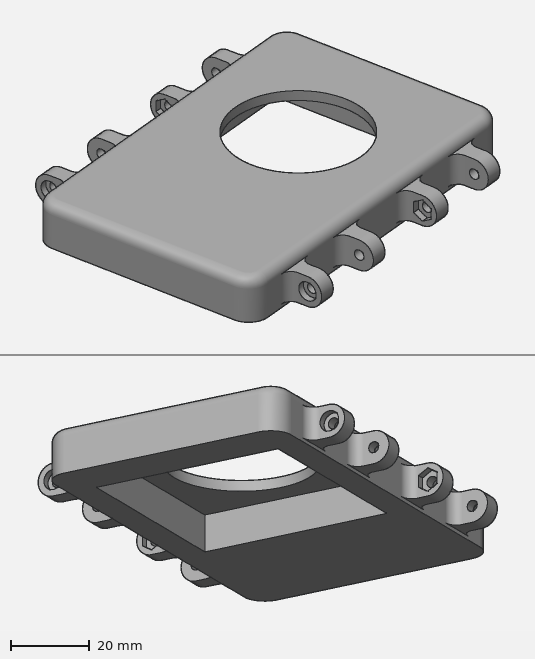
import cadquery as cq
import math

body_length = 106.0
body_width = 70.0
body_height = 13.0
corner_radius = 6.0
top_fillet = 3.0

window_diameter = 40.0
window_y = 13.0
plate_thickness = 3.0
pocket_side = 54.0

overall_width = 91.0
lug_thickness = 5.0
lug_height = 9.0
lug_radius = lug_height / 2
lug_top = body_height - top_fillet
lug_bottom = lug_top - lug_height
lug_center_x = overall_width / 2 - lug_radius
lug_center_z = lug_top - lug_radius
root_fillet = 3.0
root_overlap = 1.1
lug_inner_y = 13.5
lug_outer_y = 35.5

screw_diameter = 3.0
head_diameter = 5.5
nut_across_flats = 5.5
recess_depth = 2.0


def make_cover():
    """Rounded block with a pocket in its underside and a window in its top plate."""
    block = cq.Workplane("XY").box(body_width, body_length, body_height, centered=(True, True, False))
    block = block.edges("|Z").fillet(corner_radius)
    block = block.faces(">Z").edges().fillet(top_fillet)
    center = cq.Workplane("XY").center(0, window_y)
    pocket = center.rect(pocket_side, pocket_side).extrude(body_height - plate_thickness)
    window = center.circle(window_diameter / 2).extrude(body_height)
    return block.cut(pocket).cut(window)


def make_lug():
    """Plain lug at +X, centred on Y = 0, rounded at its tip and flared where it meets the body."""
    wall_x = body_width / 2
    inside_x = wall_x - root_overlap
    half = lug_thickness / 2
    arm = (
        cq.Workplane("XZ", origin=(0, half, 0))
        .moveTo(inside_x, lug_bottom)
        .lineTo(lug_center_x, lug_bottom)
        .threePointArc((overall_width / 2, lug_center_z), (lug_center_x, lug_top))
        .lineTo(inside_x, lug_top)
        .close()
        .extrude(lug_thickness)
    )
    flare_end = half + root_fillet
    flare_mid = root_fillet * (1 - math.sqrt(0.5))
    root = (
        cq.Workplane("XY", origin=(0, 0, lug_bottom))
        .moveTo(inside_x, -flare_end)
        .lineTo(wall_x, -flare_end)
        .threePointArc((wall_x + flare_mid, -half - flare_mid), (wall_x + root_fillet, -half))
        .lineTo(wall_x + root_fillet, half)
        .threePointArc((wall_x + flare_mid, half + flare_mid), (wall_x, flare_end))
        .lineTo(inside_x, flare_end)
        .close()
        .extrude(lug_height)
    )
    return arm.union(root)


def make_drilled_lug(recess_outline):
    """Lug with a screw hole and the given recess outline sunk into its -Y face."""
    face_y = -lug_thickness / 2
    hole = (
        cq.Workplane("XZ", origin=(lug_center_x, -face_y, lug_center_z))
        .circle(screw_diameter / 2)
        .extrude(lug_thickness)
    )
    recess = (
        recess_outline(cq.Workplane("XZ", origin=(lug_center_x, face_y, lug_center_z)))
        .extrude(-recess_depth)
    )
    return make_lug().cut(hole).cut(recess)


def head_outline(face):
    """Round recess for a screw head."""
    return face.circle(head_diameter / 2)


def nut_outline(face):
    """Hexagonal recess for a nut, with two corners on the vertical centre line."""
    nut_radius = nut_across_flats / math.sqrt(3)
    corners = [
        (
            nut_radius * math.sin(math.radians(angle)),
            nut_radius * math.cos(math.radians(angle)),
        )
        for angle in range(0, 360, 60)
    ]
    return face.polyline(corners).close()


head_lug = make_drilled_lug(head_outline)
nut_lug = make_drilled_lug(nut_outline)

side_lugs = (
    head_lug.mirror("XZ").translate((0, lug_outer_y, 0))
    .union(nut_lug.translate((0, lug_inner_y, 0)))
    .union(nut_lug.mirror("XZ").translate((0, -lug_inner_y, 0)))
    .union(head_lug.translate((0, -lug_outer_y, 0)))
)

result = make_cover().union(side_lugs).union(side_lugs.mirror("YZ"))